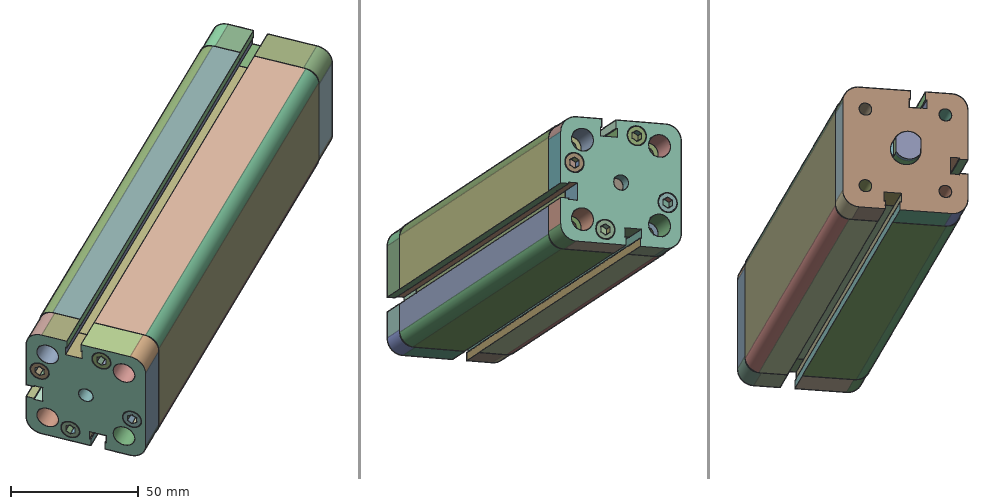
import cadquery as cq

total_length = 210.5
cap_side = 50.0
barrel_side = 49.9
rod_projection = 5.9
cap_length = 14.5
cap_corner_radius = 6.5
barrel_corner_radius = 5.5

slot_offset = 5.0
slot_mouth_width = 5.9
slot_width = 7.0
slot_lip = 3.4
slot_depth = 7.0
slot_angles = (0, 90, 180)

mounting_pitch = 32.0
mounting_diameter = 5.0
counterbore_diameter = 9.0
counterbore_depth = 14.5

center_hole_diameter = 6.0
center_hole_depth = 6.3

screw_side_shift = 6.5
screw_axis_distance = 19.4
screw_recess_diameter = 8.0
screw_head_diameter = 7.5
screw_gap_depth = 2.0
socket_across_flats = 3.8
socket_depth = 4.0

rod_diameter = 12.0
rod_flat_width = 9.9
rod_chamfer_length = 1.5
rod_chamfer_inset = 0.2

front_y = -total_length / 2
rod_tip_y = total_length / 2
rear_y = rod_tip_y - rod_projection
hex_corner_ratio = 2 / 3 ** 0.5


def plane_at(y):
    """Sketch plane at a given Y, local axes (Z, X); extruding it goes toward +Y."""
    return cq.Workplane("ZX", origin=(0, y, 0))


def turn(shape, angle):
    """Rotate a shape about the cylinder axis, top toward -X for positive angles."""
    return shape.rotate((0, 0, 0), (0, 1, 0), -angle)


def make_slot(start_y, end_y, side):
    """T-slot opening in the top face of a square section."""
    top = side / 2

    def channel(width, bottom, height):
        outline = plane_at(start_y).center(bottom + height / 2, -slot_offset)
        return outline.rect(height, width).extrude(end_y - start_y)

    floor = top - slot_depth
    mouth = channel(slot_mouth_width, floor, slot_depth)
    return mouth.union(channel(slot_width, floor, slot_depth - slot_lip))


def make_section(start_y, end_y, side, corner_radius):
    """Square length of the housing with rounded corners and T-slots."""
    section = plane_at(start_y).rect(side, side).extrude(end_y - start_y)
    section = section.edges("|Y").fillet(corner_radius)
    for angle in slot_angles:
        section = section.cut(turn(make_slot(start_y, end_y, side), angle))
    return section


def make_housing():
    """Barrel between two end caps; the caps stand slightly proud of its faces."""
    barrel_start = front_y + cap_length
    barrel_end = rear_y - cap_length
    front_cap = make_section(front_y, barrel_start, cap_side, cap_corner_radius)
    barrel = make_section(barrel_start, barrel_end, barrel_side, barrel_corner_radius)
    rear_cap = make_section(barrel_end, rear_y, cap_side, cap_corner_radius)
    return front_cap.union(barrel).union(rear_cap)


def make_mounting_holes():
    def drill(diameter, depth):
        pattern = plane_at(front_y).rect(mounting_pitch, mounting_pitch, forConstruction=True)
        return pattern.vertices().circle(diameter / 2).extrude(depth)

    through = drill(mounting_diameter, rear_y - front_y)
    return through.union(drill(counterbore_diameter, counterbore_depth))


def make_screw_recesses():
    """Gaps around the four screw heads, with an upright hexagon socket in each head."""
    offsets = [
        (screw_axis_distance, screw_side_shift),
        (screw_side_shift, -screw_axis_distance),
        (-screw_axis_distance, -screw_side_shift),
        (-screw_side_shift, screw_axis_distance),
    ]
    points = plane_at(front_y).pushPoints(offsets)
    gaps = points.circle(screw_recess_diameter / 2).extrude(screw_gap_depth)
    heads = points.circle(screw_head_diameter / 2).extrude(screw_gap_depth)
    sockets = points.polygon(6, socket_across_flats * hex_corner_ratio).extrude(socket_depth)
    return gaps.cut(heads).union(sockets)


def make_rod():
    """Turned rod end; its flats run out at 45 degrees just before the housing."""
    radius = rod_diameter / 2
    flat_x = rod_flat_width / 2
    turned_profile = [
        (0, rear_y),
        (radius, rear_y),
        (radius, rod_tip_y - rod_chamfer_length),
        (radius - rod_chamfer_inset, rod_tip_y),
        (0, rod_tip_y),
    ]
    rod = cq.Workplane("XY").polyline(turned_profile).close()
    rod = rod.revolve(360, (0, 0, 0), (0, 1, 0))
    flat_profile = [
        (-radius, rear_y),
        (radius, rear_y),
        (flat_x, rear_y + radius - flat_x),
        (flat_x, rod_tip_y),
        (-flat_x, rod_tip_y),
        (-flat_x, rear_y + radius - flat_x),
    ]
    envelope = cq.Workplane("XY").polyline(flat_profile).close().extrude(radius, both=True)
    return rod.intersect(envelope)


result = make_housing().cut(make_mounting_holes())
result = result.cut(plane_at(front_y).circle(center_hole_diameter / 2).extrude(center_hole_depth))
result = result.cut(make_screw_recesses())
result = result.union(make_rod())